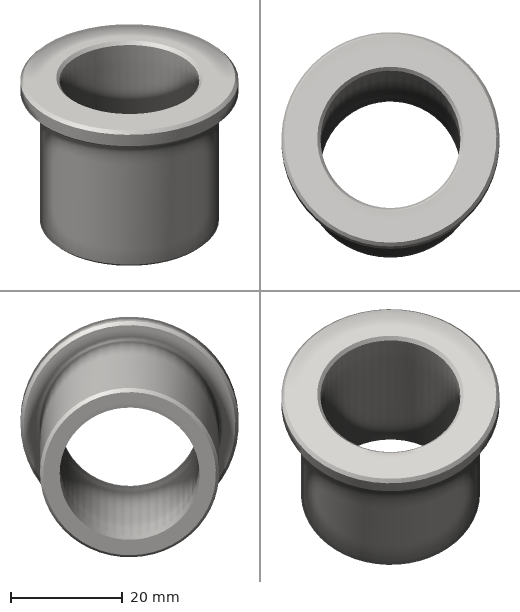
import cadquery as cq

flange_diameter = 39.0
sleeve_diameter = 32.0
bore_diameter = 25.0
total_height = 30.0
flange_thickness = 3.5

edge_chamfer = 0.6
bore_chamfer = 0.6
neck_fillet = 0.75

sleeve_height = total_height - flange_thickness

sleeve = (
    cq.Workplane("XY")
    .circle(sleeve_diameter / 2)
    .extrude(sleeve_height)
    .faces("<Z")
    .chamfer(edge_chamfer)
)

flange = (
    cq.Workplane("XY")
    .workplane(offset=sleeve_height)
    .circle(flange_diameter / 2)
    .extrude(flange_thickness)
    .faces("<Z or >Z")
    .chamfer(edge_chamfer)
)

neck_corner = cq.selectors.RadiusNthSelector(0)
body = sleeve.union(flange)
body = body.faces("<Z[-2]").edges(neck_corner).fillet(neck_fillet)

bore = cq.Workplane("XY").circle(bore_diameter / 2).extrude(total_height)
result = body.cut(bore)
result = result.faces(">Z").edges(cq.selectors.RadiusNthSelector(0)).chamfer(bore_chamfer)